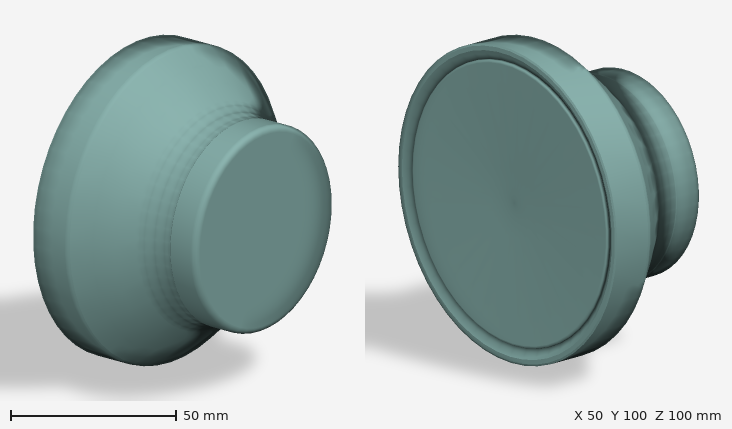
import cadquery as cq
import math

TOTAL_LENGTH = 50.0
RIM_RADIUS = 100.0 / 2
RIM_FACE_RADIUS = 98.8 / 2
RIM_CHAMFER_DEPTH = 0.3
RIM_CYLINDER_END = 12.9
RIM_ROUND_END = 14.4

NECK_RADIUS = 64.6 / 2
NECK_BLEND_START = 30.1
NECK_BLEND_END = 39.1

MOUTH_RADIUS = 48.0
DISH_OUTER_RADIUS = 44.9
GROOVE_DEPTH = 2.0
DISH_EDGE_DEPTH = 1.0
DISH_EDGE_ROUND = 0.9
DISH_CENTRE_DEPTH = 3.0

COLLAR_RADIUS = 65.0 / 2
COLLAR_START = 39.7
COLLAR_CHAMFER_LENGTH = 0.3
COLLAR_END_ROUND = 2.0


def cone_angle():
    """Angle between the cone and the axis, tangent to the roundings at both ends.

    An arc of axial length L that turns through angle a changes radius by L * tan(a / 2).
    """
    arc_lengths = (RIM_ROUND_END - RIM_CYLINDER_END) + (NECK_BLEND_END - NECK_BLEND_START)
    cone_length = NECK_BLEND_START - RIM_ROUND_END
    radius_drop = RIM_RADIUS - NECK_RADIUS
    low, high = 0.0, math.pi / 2
    for _ in range(60):
        angle = (low + high) / 2
        drop = arc_lengths * math.tan(angle / 2) + cone_length * math.tan(angle)
        if drop < radius_drop:
            low = angle
        else:
            high = angle
    return angle


def revolve_about_x(profile):
    return profile.close().revolve(360, (0, 0, 0), (1, 0, 0))


def make_knob():
    """Dished rim, cone and neck, up to the collar."""
    half_angle_slope = math.tan(cone_angle() / 2)
    rim_round_drop = (RIM_ROUND_END - RIM_CYLINDER_END) * half_angle_slope
    neck_blend_rise = (NECK_BLEND_END - NECK_BLEND_START) * half_angle_slope
    dish_flat_radius = DISH_OUTER_RADIUS - DISH_EDGE_ROUND
    profile = (
        cq.Workplane("XY")
        .moveTo(DISH_CENTRE_DEPTH, 0)
        .lineTo(DISH_EDGE_DEPTH, dish_flat_radius)
        .radiusArc((DISH_EDGE_DEPTH + DISH_EDGE_ROUND, DISH_OUTER_RADIUS), DISH_EDGE_ROUND)
        .lineTo(GROOVE_DEPTH, DISH_OUTER_RADIUS)
        .lineTo(0, MOUTH_RADIUS)
        .lineTo(0, RIM_FACE_RADIUS)
        .lineTo(RIM_CHAMFER_DEPTH, RIM_RADIUS)
        .lineTo(RIM_CYLINDER_END, RIM_RADIUS)
        .tangentArcPoint((RIM_ROUND_END, RIM_RADIUS - rim_round_drop), relative=False)
        .lineTo(NECK_BLEND_START, NECK_RADIUS + neck_blend_rise)
        .tangentArcPoint((NECK_BLEND_END, NECK_RADIUS), relative=False)
        .lineTo(COLLAR_START, NECK_RADIUS)
        .lineTo(COLLAR_START, 0)
    )
    return revolve_about_x(profile)


def make_collar():
    """Disc with a small front chamfer and a rounded back edge."""
    profile = (
        cq.Workplane("XY")
        .moveTo(COLLAR_START, 0)
        .lineTo(COLLAR_START, NECK_RADIUS)
        .lineTo(COLLAR_START + COLLAR_CHAMFER_LENGTH, COLLAR_RADIUS)
        .lineTo(TOTAL_LENGTH - COLLAR_END_ROUND, COLLAR_RADIUS)
        .tangentArcPoint((TOTAL_LENGTH, COLLAR_RADIUS - COLLAR_END_ROUND), relative=False)
        .lineTo(TOTAL_LENGTH, 0)
    )
    return revolve_about_x(profile)


knob = make_knob()
collar = make_collar()
result = cq.Compound.makeCompound([knob.val(), collar.val()])